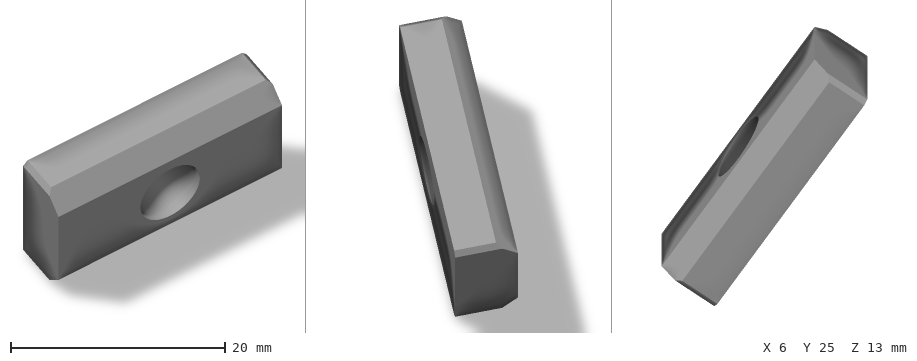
import cadquery as cq

thickness = 6.0
length = 25.0
height = 13.0

hole_diameter = 6.65
long_edge_chamfer = 2.0
corner_chamfer = 0.5

plate = cq.Workplane("XY").box(thickness, length, height)

plate = plate.edges("|X").chamfer(corner_chamfer)

plate = plate.faces("<X").workplane(centerOption="CenterOfBoundBox").hole(hole_diameter)

for side in (1, -1):
    bevel = (
        cq.Workplane("XZ")
        .moveTo(thickness / 2, side * height / 2)
        .lineTo(thickness / 2 - long_edge_chamfer, side * height / 2)
        .lineTo(thickness / 2, side * (height / 2 - long_edge_chamfer))
        .close()
        .extrude(length / 2, both=True)
    )
    plate = plate.cut(bevel)

result = plate